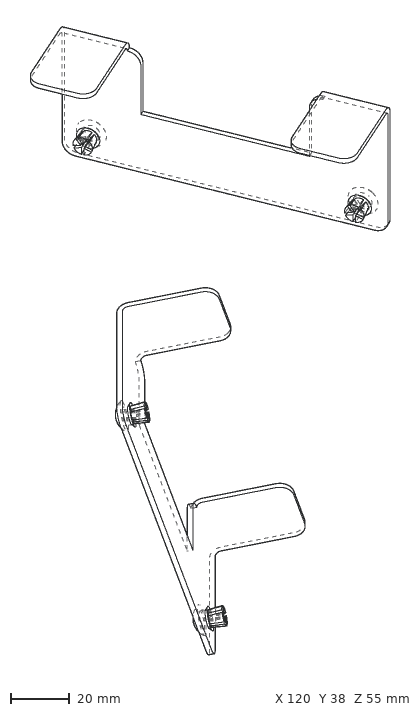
import cadquery as cq
import math

width = 120.0
height = 55.0
depth = 35.0
thickness = 2.0
bend_inner_radius = 2.0
bend_outer_radius = bend_inner_radius + thickness
corner_radius = 5.0
tab_width = 24.0
leg_width = tab_width + corner_radius
base_height = 25.0
bend_start_z = height - bend_outer_radius

plug_edge_distance = 10.0
plug_x = width / 2 - plug_edge_distance
plug_z = plug_edge_distance
head_height = 3.0
head_radius = 5.5
head_sphere_radius = (head_radius**2 + head_height**2) / (2 * head_height)
neck_radius = 3.25
collar_radius = 4.3
collar_length = 1.0
shank_root_radius = 3.15
shank_tip_radius = 3.6
shank_length = 5.0
slot_count = 5
slot_width = 1.0
collar_end_y = -thickness - collar_length
shank_end_y = collar_end_y - shank_length

diagonal = math.sqrt(0.5)


def make_upright():
    """U-shaped upright plate, up to the level where the bends start."""
    notch_x = width / 2 - leg_width
    tab_inner_x = width / 2 - tab_width
    arc_offset = corner_radius * (1 - diagonal)
    plate = (
        cq.Workplane("XZ")
        .moveTo(-width / 2, 0)
        .lineTo(width / 2, 0)
        .lineTo(width / 2, bend_start_z)
        .lineTo(tab_inner_x, bend_start_z)
        .threePointArc(
            (notch_x + arc_offset, bend_start_z - arc_offset),
            (notch_x, bend_start_z - corner_radius),
        )
        .lineTo(notch_x, base_height)
        .lineTo(-notch_x, base_height)
        .lineTo(-notch_x, bend_start_z - corner_radius)
        .threePointArc(
            (-notch_x - arc_offset, bend_start_z - arc_offset),
            (-tab_inner_x, bend_start_z),
        )
        .lineTo(-width / 2, bend_start_z)
        .close()
        .extrude(thickness)
    )
    return plate.edges("|Y and <Z").fillet(corner_radius)


def make_tab(left_x):
    """Bend and horizontal tab on top of one leg, starting at left_x."""
    outer_mid = bend_outer_radius * diagonal
    inner_mid = bend_inner_radius * diagonal
    inner_z = height - thickness
    tab = (
        cq.Workplane("YZ", origin=(left_x, 0, 0))
        .moveTo(0, bend_start_z)
        .threePointArc(
            (-bend_outer_radius + outer_mid, bend_start_z + outer_mid),
            (-bend_outer_radius, height),
        )
        .lineTo(-depth, height)
        .lineTo(-depth, inner_z)
        .lineTo(-bend_outer_radius, inner_z)
        .threePointArc(
            (-bend_outer_radius + inner_mid, bend_start_z + inner_mid),
            (-thickness, bend_start_z),
        )
        .close()
        .extrude(tab_width)
    )
    return tab.edges("|Z and <Y").fillet(corner_radius)


def make_bracket():
    bracket = make_upright()
    for left_x in (-width / 2, width / 2 - tab_width):
        bracket = bracket.union(make_tab(left_x))
    plug_holes = (
        cq.Workplane("XZ")
        .pushPoints([(-plug_x, plug_z), (plug_x, plug_z)])
        .circle(neck_radius)
        .extrude(thickness)
    )
    return bracket.cut(plug_holes)


def make_plug(x):
    """Domed head, neck, flared collar and tapered shank split by radial slots."""
    head_mid_x = head_radius / 2
    head_centre_y = head_height - head_sphere_radius
    head_mid_y = head_centre_y + math.sqrt(head_sphere_radius**2 - head_mid_x**2)
    plug = (
        cq.Workplane("XY")
        .moveTo(0, head_height)
        .threePointArc((head_mid_x, head_mid_y), (head_radius, 0))
        .lineTo(neck_radius, 0)
        .lineTo(neck_radius, -thickness)
        .lineTo(collar_radius, collar_end_y)
        .lineTo(shank_root_radius, collar_end_y)
        .lineTo(shank_tip_radius, shank_end_y)
        .lineTo(0, shank_end_y)
        .close()
        .revolve(360, (0, 0, 0), (0, 1, 0))
    )
    slot = cq.Workplane("XY").box(slot_width, shank_length, collar_radius, centered=(True, False, False))
    slot = slot.translate((0, shank_end_y, -collar_radius))
    for index in range(slot_count):
        plug = plug.cut(slot.rotate((0, 0, 0), (0, 1, 0), index * 360 / slot_count))
    return plug.translate((x, 0, plug_z))


bracket = make_bracket()
plugs = [make_plug(x) for x in (-plug_x, plug_x)]

result = cq.Compound.makeCompound([bracket.val(), *[plug.val() for plug in plugs]])